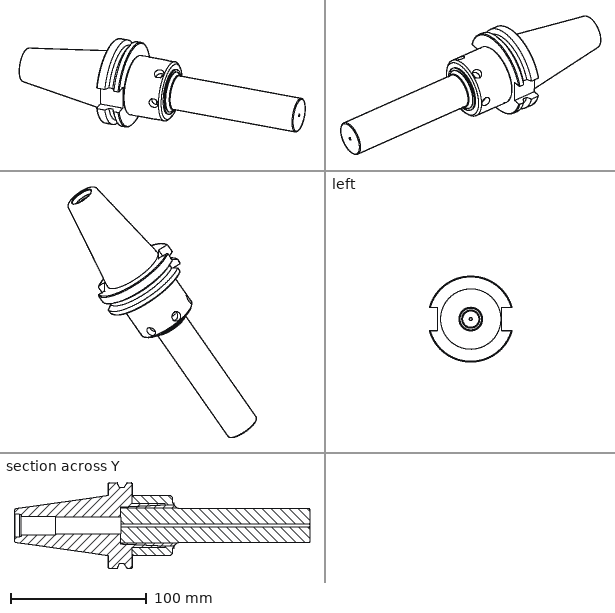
import cadquery as cq
OVERALL_LENGTH = 218.2

TAPER_SMALL_DIAMETER = 25.0
TAPER_LARGE_DIAMETER = 44.5
TAPER_END = 68.0
TAPER_NOSE_FILLET = 1.7

FLANGE_START = 69.2
FLANGE_END = 87.0
FLANGE_DIAMETER = 63.5
FLANGE_CHAMFER = 0.7
GRIP_GROOVE_DIAMETER = 56.3
GRIP_GROOVE_START = 76.0
GRIP_GROOVE_END = 83.2
GRIP_FLANK_FRONT = 1.7
GRIP_FLANK_BACK = 2.5
SLOT_WIDTH = 17.0
SHALLOW_SLOT_FLOOR = 24.7
DEEP_SLOT_FLOOR = 22.7

BORE_MOUTH_DIAMETER = 17.5
BORE_MOUTH_DEPTH = 0.5
COUNTERBORE_DIAMETER = 16.5
COUNTERBORE_DEPTH = 3.7
STEP_DIAMETER = 16.0
STEP_END = 5.0
THREAD_DIAMETER = 13.3
THREAD_END = 30.5
THROUGH_BORE_DIAMETER = 12.0

SPIGOT_DIAMETER = 32.7
SPIGOT_END = 111.3
NUT_DIAMETER = 44.5
NUT_FACE = 116.8
NUT_BACK_CHAMFER = 0.9
NUT_FRONT_CHAMFER = 1.5
NUT_LIP_DIAMETER = 33.6
NUT_LIP_HEIGHT = 0.9
SPANNER_HOLE_COUNT = 6
SPANNER_HOLE_DIAMETER = 7.0
SPANNER_HOLE_DEPTH = 5.2
SPANNER_HOLE_X = 111.3

COLLET_BACK = 78.5
COLLET_BACK_DIAMETER = 27.0
COLLET_DIAMETER = 30.1
COLLET_SHOULDER = 118.0
COLLET_CONE_END = 120.0
COLLET_END = 120.7
COLLET_END_DIAMETER = 26.0

BAR_DIAMETER = 25.3
BAR_CHAMFER = 0.7
COOLANT_HOLE_DIAMETER = 2.0


def turned(profile):
    """Turn a closed outline of (x, radius) points about the X axis."""
    return cq.Workplane("XY").polyline(profile).close().revolve(360, (0, 0, 0), (1, 0, 0))


def cylinder(diameter, start, end):
    """Cylinder along X between two stations."""
    return cq.Workplane("YZ", origin=(start, 0, 0)).circle(diameter / 2).extrude(end - start)


def collet_envelope():
    """Outside of the collet, which is also the shape of its seat in the holder and nut."""
    return turned([
        (COLLET_BACK, 0),
        (COLLET_BACK, COLLET_BACK_DIAMETER / 2),
        (SPIGOT_END, COLLET_DIAMETER / 2),
        (COLLET_SHOULDER, COLLET_DIAMETER / 2),
        (COLLET_CONE_END, COLLET_END_DIAMETER / 2),
        (COLLET_END, COLLET_END_DIAMETER / 2),
        (COLLET_END, 0),
    ])


def taper():
    """Taper with a rounded small end and a short cylindrical neck at its large end."""
    small_radius = TAPER_SMALL_DIAMETER / 2
    large_radius = TAPER_LARGE_DIAMETER / 2
    cone = turned([
        (0, 0),
        (0, small_radius),
        (TAPER_END, large_radius),
        (FLANGE_START, large_radius),
        (FLANGE_START, 0),
    ])
    return cone.faces("<X").edges().fillet(TAPER_NOSE_FILLET)


def flange():
    """Drive flange with its gripper groove."""
    radius = FLANGE_DIAMETER / 2
    groove_radius = GRIP_GROOVE_DIAMETER / 2
    return turned([
        (FLANGE_START, 0),
        (FLANGE_START, radius - FLANGE_CHAMFER),
        (FLANGE_START + FLANGE_CHAMFER, radius),
        (GRIP_GROOVE_START, radius),
        (GRIP_GROOVE_START + GRIP_FLANK_FRONT, groove_radius),
        (GRIP_GROOVE_END - GRIP_FLANK_BACK, groove_radius),
        (GRIP_GROOVE_END, radius),
        (FLANGE_END - FLANGE_CHAMFER, radius),
        (FLANGE_END, radius - FLANGE_CHAMFER),
        (FLANGE_END, 0),
    ])


def drive_slot(side, floor):
    """Cutter for one drive slot; side is +1 for +Y and -1 for -Y."""
    depth = FLANGE_DIAMETER / 2 - floor
    length = FLANGE_END - FLANGE_START
    centre = (FLANGE_START + length / 2, side * (floor + depth / 2), 0)
    return cq.Workplane("XY").box(length, depth, SLOT_WIDTH).translate(centre)


def draw_bolt_bore():
    """Stepped bore from the small end of the taper to the collet seat."""
    mouth_radius = BORE_MOUTH_DIAMETER / 2
    counterbore_radius = COUNTERBORE_DIAMETER / 2
    step_radius = STEP_DIAMETER / 2
    thread_radius = THREAD_DIAMETER / 2
    through_radius = THROUGH_BORE_DIAMETER / 2
    return turned([
        (0, 0),
        (0, mouth_radius),
        (BORE_MOUTH_DEPTH, counterbore_radius),
        (COUNTERBORE_DEPTH, counterbore_radius),
        (COUNTERBORE_DEPTH, step_radius),
        (STEP_END, step_radius),
        (STEP_END, thread_radius),
        (THREAD_END, thread_radius),
        (THREAD_END, through_radius),
        (COLLET_BACK, through_radius),
        (COLLET_BACK, 0),
    ])


def make_holder():
    spigot = cylinder(SPIGOT_DIAMETER, FLANGE_END, SPIGOT_END)
    body = taper().union(flange()).union(spigot)
    body = body.cut(drive_slot(+1, SHALLOW_SLOT_FLOOR))
    body = body.cut(drive_slot(-1, DEEP_SLOT_FLOOR))
    return body.cut(draw_bolt_bore()).cut(collet_envelope())


def spanner_hole(angle):
    """Cutter for one flat-bottomed radial hole, turned by angle from +Y."""
    floor = NUT_DIAMETER / 2 - SPANNER_HOLE_DEPTH
    hole = cq.Workplane("XZ", origin=(SPANNER_HOLE_X, floor, 0)).circle(SPANNER_HOLE_DIAMETER / 2)
    return hole.extrude(-NUT_DIAMETER / 2).rotate((0, 0, 0), (1, 0, 0), angle)


def make_nut():
    radius = NUT_DIAMETER / 2
    lip_radius = NUT_LIP_DIAMETER / 2
    nut = turned([
        (FLANGE_END, 0),
        (FLANGE_END, radius - NUT_BACK_CHAMFER),
        (FLANGE_END + NUT_BACK_CHAMFER, radius),
        (NUT_FACE - NUT_FRONT_CHAMFER, radius),
        (NUT_FACE, radius - NUT_FRONT_CHAMFER),
        (NUT_FACE, lip_radius),
        (NUT_FACE + NUT_LIP_HEIGHT, lip_radius),
        (NUT_FACE + NUT_LIP_HEIGHT, 0),
    ])
    nut = nut.cut(cylinder(SPIGOT_DIAMETER, FLANGE_END, SPIGOT_END)).cut(collet_envelope())
    for index in range(SPANNER_HOLE_COUNT):
        nut = nut.cut(spanner_hole(index * 360 / SPANNER_HOLE_COUNT))
    return nut


def make_collet():
    return collet_envelope().cut(cylinder(BAR_DIAMETER, COLLET_BACK, COLLET_END))


def make_bar():
    bar = cylinder(BAR_DIAMETER, COLLET_BACK, OVERALL_LENGTH)
    bar = bar.faces(">X").edges().chamfer(BAR_CHAMFER)
    return bar.cut(cylinder(COOLANT_HOLE_DIAMETER, COLLET_BACK, OVERALL_LENGTH))


holder = make_holder()
nut = make_nut()
collet = make_collet()
bar = make_bar()

result = cq.Compound.makeCompound([holder.val(), nut.val(), collet.val(), bar.val()])